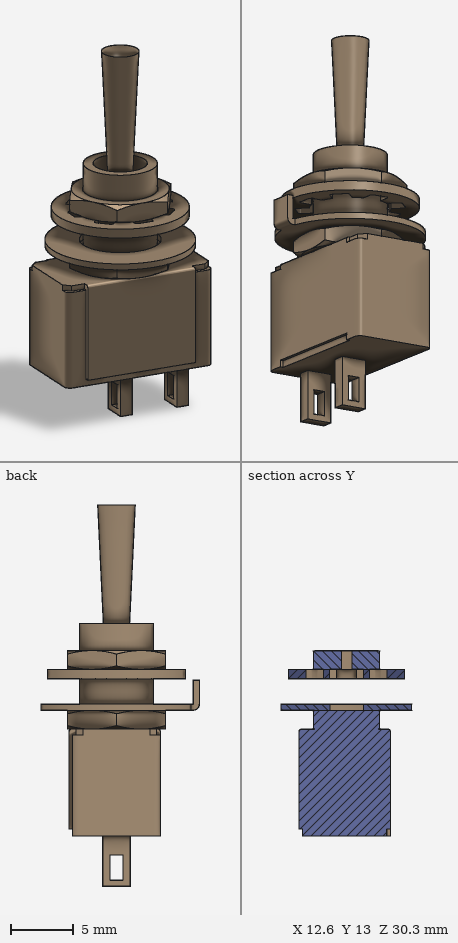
import cadquery as cq
import math


CASE_X = 7.0
CASE_Y = 13.0
CASE_HEIGHT = 8.5
CASE_CORNER_RADIUS = 0.5
LID_X = 6.4
LID_HEIGHT = 0.45
LID_CORNER_CHAMFER = 0.55

FRAME_Y = 9.6
FRAME_THICKNESS = 0.28
FRAME_HEIGHT = 7.95
FRAME_BEND_RADIUS = 0.2

TERMINAL_X = 2.2
TERMINAL_Y = 1.05
TERMINAL_LENGTH = 4.0
TERMINAL_PITCH = 5.0
TERMINAL_COUNT = 2
EYE_X = 1.0
EYE_HEIGHT = 2.0
EYE_END_MARGIN = 0.5

BUSHING_DIAMETER = 5.9
BUSHING_BORE = 4.3
BUSHING_HEIGHT = 8.4

LEVER_TOP_Z = 17.83
LEVER_TIP_DIAMETER = 3.0
LEVER_NECK_DIAMETER = 2.1
LEVER_DISH_DEPTH = 1.4

NUT_ACROSS_FLATS = 7.8
NUT_HEIGHT = 1.5
NUT_HOLE = 6.0
NUT_CHAMFER_ANGLE = 25

TAB_WASHER_DIAMETER = 12.0
TAB_WASHER_HOLE = 6.5
TAB_WASHER_THICKNESS = 0.5
TAB_REACH = 6.6
TAB_WIDTH = 2.0
TAB_HEIGHT = 2.4
TAB_BEND_RADIUS = 0.5

LOCK_WASHER_DIAMETER = 11.0
LOCK_WASHER_HOLE = 6.5
LOCK_WASHER_THICKNESS = 0.75
LOCK_WASHER_Z = 4.0
NOTCH_COUNT = 8
NOTCH_WIDTH = 1.6
NOTCH_REACH = 4.35
NOTCH_CORNER_RADIUS = 0.25

TAB_WASHER_Z = NUT_HEIGHT
UPPER_NUT_Z = LOCK_WASHER_Z + LOCK_WASHER_THICKNESS


def block(size_x, size_y, bottom, top):
    """Box centred on the lever axis between two heights."""
    base = cq.Workplane("XY").workplane(offset=bottom)
    return base.rect(size_x, size_y).extrude(top - bottom)


def cylinder(diameter, bottom, top):
    """Cylinder on the lever axis between two heights."""
    return cq.Workplane("XY").workplane(offset=bottom).circle(diameter / 2).extrude(top - bottom)


def hexagon_nut(bottom, hole_diameter):
    """Nut with flats facing +X and -X and its corners chamfered at both ends."""
    corner_radius = NUT_ACROSS_FLATS / math.sqrt(3)
    face_radius = NUT_ACROSS_FLATS / 2
    drop = (corner_radius - face_radius) * math.tan(math.radians(NUT_CHAMFER_ANGLE))
    prism = (
        cq.Workplane("XY")
        .workplane(offset=bottom)
        .transformed(rotate=(0, 0, 90))
        .polygon(6, 2 * corner_radius)
        .extrude(NUT_HEIGHT)
    )
    top = bottom + NUT_HEIGHT
    chamfer_envelope = (
        cq.Workplane("XZ")
        .moveTo(0, bottom)
        .lineTo(face_radius, bottom)
        .lineTo(corner_radius, bottom + drop)
        .lineTo(corner_radius, top - drop)
        .lineTo(face_radius, top)
        .lineTo(0, top)
        .close()
        .revolve(360, (0, 0, 0), (0, 1, 0))
    )
    return prism.intersect(chamfer_envelope).cut(cylinder(hole_diameter, bottom, top))


def case():
    """Case with rounded corners, a narrower lid and the wrapped metal frame."""
    shell = block(CASE_X, CASE_Y, -CASE_HEIGHT, -LID_HEIGHT).edges("|Z").fillet(CASE_CORNER_RADIUS)
    lid = block(LID_X, CASE_Y, -LID_HEIGHT, 0).edges("|Z").chamfer(LID_CORNER_CHAMFER)

    frame_start = -CASE_X / 2
    frame_end = CASE_X / 2 + FRAME_THICKNESS
    frame = (
        block(frame_end - frame_start, FRAME_Y, -FRAME_HEIGHT, 0)
        .edges("|Y and >Z")
        .fillet(FRAME_BEND_RADIUS)
        .translate(((frame_start + frame_end) / 2, 0, 0))
    )
    recess = block(FRAME_THICKNESS, FRAME_Y, -CASE_HEIGHT, -FRAME_HEIGHT).translate(
        (frame_start + FRAME_THICKNESS / 2, 0, 0)
    )
    return shell.union(lid).union(frame).cut(recess)


def terminal(y):
    """Flat terminal with a rectangular eye through it along Y."""
    end = -CASE_HEIGHT - TERMINAL_LENGTH
    eye_bottom = end + EYE_END_MARGIN
    blade = block(TERMINAL_X, TERMINAL_Y, end, -CASE_HEIGHT)
    eye = block(EYE_X, TERMINAL_Y, eye_bottom, eye_bottom + EYE_HEIGHT)
    return blade.cut(eye).translate((0, y, 0))


def lever():
    """Tapered lever standing on the case, with a spherical dish in its tip."""
    tip_radius = LEVER_TIP_DIAMETER / 2
    taper = (LEVER_TIP_DIAMETER - LEVER_NECK_DIAMETER) / 2 / (LEVER_TOP_Z - BUSHING_HEIGHT)
    base_radius = tip_radius - taper * LEVER_TOP_Z
    dish_radius = (tip_radius**2 + LEVER_DISH_DEPTH**2) / (2 * LEVER_DISH_DEPTH)
    dish_bottom = LEVER_TOP_Z - LEVER_DISH_DEPTH
    return (
        cq.Workplane("XZ")
        .lineTo(base_radius, 0)
        .lineTo(tip_radius, LEVER_TOP_Z)
        .radiusArc((0, dish_bottom), dish_radius)
        .close()
        .revolve(360, (0, 0, 0), (0, 1, 0))
    )


def make_switch():
    """Case, terminals, bushing, lever and the nut fixed at the foot of the bushing."""
    body = case()
    for index in range(TERMINAL_COUNT):
        body = body.union(terminal(index * TERMINAL_PITCH))
    bushing = cylinder(BUSHING_DIAMETER, 0, BUSHING_HEIGHT).cut(cylinder(BUSHING_BORE, 0, BUSHING_HEIGHT))
    lower_nut = hexagon_nut(0, BUSHING_DIAMETER)
    return body.union(bushing).union(lower_nut).union(lever())


def make_upper_nut():
    """Loose nut that clamps the lock washer."""
    return hexagon_nut(UPPER_NUT_Z, NUT_HOLE)


def make_tab_washer():
    """Flat washer with a tab on its -X side, bent upward."""
    bottom = TAB_WASHER_Z
    top = bottom + TAB_WASHER_THICKNESS
    disc = cylinder(TAB_WASHER_DIAMETER, bottom, top)
    tab_inside = TAB_WASHER_THICKNESS - TAB_REACH
    tab_root = -math.sqrt((TAB_WASHER_DIAMETER / 2) ** 2 - (TAB_WIDTH / 2) ** 2)
    tab = (
        cq.Workplane("XZ")
        .moveTo(tab_root, bottom)
        .lineTo(TAB_BEND_RADIUS - TAB_REACH, bottom)
        .radiusArc((-TAB_REACH, bottom + TAB_BEND_RADIUS), TAB_BEND_RADIUS)
        .lineTo(-TAB_REACH, bottom + TAB_HEIGHT)
        .lineTo(tab_inside, bottom + TAB_HEIGHT)
        .lineTo(tab_inside, top)
        .lineTo(tab_root, top)
        .close()
        .extrude(TAB_WIDTH / 2, both=True)
    )
    return disc.union(tab).cut(cylinder(TAB_WASHER_HOLE, bottom, top))


def make_lock_washer():
    """Flat washer with radial notches around its hole."""
    bottom = LOCK_WASHER_Z
    top = bottom + LOCK_WASHER_THICKNESS
    washer = cylinder(LOCK_WASHER_DIAMETER, bottom, top).cut(cylinder(LOCK_WASHER_HOLE, bottom, top))
    notch = (
        block(NOTCH_REACH, NOTCH_WIDTH, bottom, top)
        .translate((NOTCH_REACH / 2, 0, 0))
        .edges("|Z and >X")
        .fillet(NOTCH_CORNER_RADIUS)
    )
    for index in range(NOTCH_COUNT):
        washer = washer.cut(notch.rotate((0, 0, 0), (0, 0, 1), index * 360 / NOTCH_COUNT))
    return washer


switch = make_switch()
tab_washer = make_tab_washer()
lock_washer = make_lock_washer()
upper_nut = make_upper_nut()

result = cq.Compound.makeCompound(
    [
        switch.solids().val(),
        tab_washer.solids().val(),
        lock_washer.solids().val(),
        upper_nut.solids().val(),
    ]
)